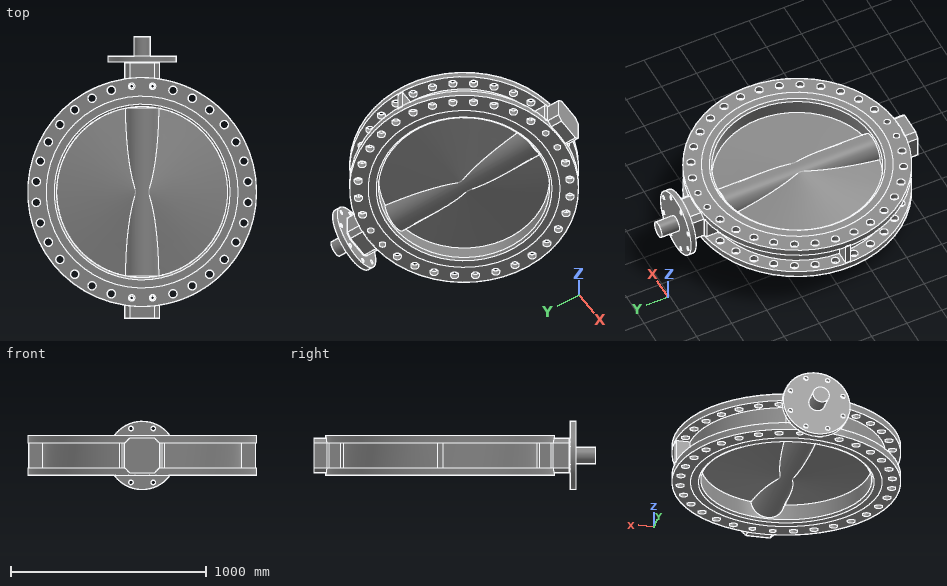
import cadquery as cq
import math


face_to_face = 204
flange_radius = 585
flange_thickness = 38.5
flange_gap = face_to_face - 2 * flange_thickness
barrel_radius = 508

bolt_count = 32
bolt_circle_radius = 543
bolt_hole_diameter = 41
bolt_pitch_angle = 360 / bolt_count
tapped_hole_diameter = 33
tapped_hole_depth = 70
pilot_hole_diameter = 18

rib_thickness = 28
rib_reach = 580

boss_half_width = 102
boss_reach = 577
boss_corner_chamfer = 10
boss_foot_chamfer = 13

neck_width = 178
neck_corner_chamfer = 26
lower_neck_end = -645
upper_neck_end = 659

mounting_radius = 175
mounting_thickness = 30
mounting_pad_thickness = 5
mounting_bolt_count = 8
mounting_bolt_circle_diameter = 298
mounting_bolt_hole_diameter = 22

liner_outer_radius = 490
liner_bore_radius = 437
liner_chamfer = 12

disc_edge_half_thickness = 6
hub_radius = 86
hub_half_length = 430
cone_height = 85

shaft_radius = 42.5
shaft_lower_end = -590
shaft_upper_end = lower_neck_end + 1439


def cylinder_along_z(radius, z_start, z_end):
    return cq.Workplane("XY").workplane(offset=z_start).circle(radius).extrude(z_end - z_start)


def along_y(y_start):
    """Workplane across the Y axis at the given position."""
    return cq.Workplane("XZ", origin=(0, y_start, 0))


def cylinder_along_y(radius, y_start, y_end):
    return along_y(y_start).circle(radius).extrude(y_start - y_end)


def neck_block(y_start, y_end):
    """Square bar along Y with its four long edges cut off."""
    bar = along_y(y_start).rect(neck_width, neck_width).extrude(y_start - y_end)
    return bar.edges("|Y").chamfer(neck_corner_chamfer)


def boss(side):
    """Shaft boss between the flanges: side is +1 at the upper neck and -1 at the lower neck."""
    foot_half_width = boss_half_width + boss_foot_chamfer
    foot_y = math.sqrt(barrel_radius**2 - foot_half_width**2)
    half_outline = [
        (foot_half_width, foot_y),
        (boss_half_width, foot_y + boss_foot_chamfer),
        (boss_half_width, boss_reach - boss_corner_chamfer),
        (boss_half_width - boss_corner_chamfer, boss_reach),
    ]
    mirrored_outline = [(-x, y) for x, y in reversed(half_outline)]
    outline = [(x, side * y) for x, y in half_outline + mirrored_outline]
    start = cq.Workplane("XY").workplane(offset=-flange_gap / 2)
    return start.polyline(outline).close().extrude(flange_gap)


def bolt_positions(tapped):
    """Bolt circle positions; the pairs beside the Y axis are tapped, all others are clear."""
    positions = []
    for index in range(bolt_count):
        angle = math.radians((index + 0.5) * bolt_pitch_angle)
        x = bolt_circle_radius * math.cos(angle)
        y = bolt_circle_radius * math.sin(angle)
        beside_shaft = abs(x) < boss_half_width
        if beside_shaft == tapped:
            positions.append((x, y))
    return positions


def bolt_holes(tapped, diameter, z_start, z_end):
    start = cq.Workplane("XY").workplane(offset=z_start).pushPoints(bolt_positions(tapped))
    return start.circle(diameter / 2).extrude(z_end - z_start)


def make_body():
    top = face_to_face / 2
    body = cylinder_along_z(barrel_radius, -top, top)
    body = body.union(cylinder_along_z(flange_radius, -top, -top + flange_thickness))
    body = body.union(cylinder_along_z(flange_radius, top - flange_thickness, top))
    body = body.union(cq.Workplane("XY").box(2 * rib_reach, rib_thickness, flange_gap))
    body = body.union(boss(1)).union(boss(-1))
    body = body.union(neck_block(lower_neck_end, -liner_outer_radius))
    body = body.union(neck_block(liner_outer_radius, upper_neck_end))
    body = body.cut(cylinder_along_z(liner_outer_radius, -top, top))
    body = body.cut(bolt_holes(False, bolt_hole_diameter, -top, top))
    body = body.cut(bolt_holes(True, pilot_hole_diameter, -top, top))
    body = body.cut(bolt_holes(True, tapped_hole_diameter, -top, -top + tapped_hole_depth))
    body = body.cut(bolt_holes(True, tapped_hole_diameter, top - tapped_hole_depth, top))
    return body.cut(cylinder_along_y(shaft_radius, shaft_lower_end, upper_neck_end))


def make_liner():
    """Sleeve in the body bore, with a lead-in chamfer at both faces."""
    top = face_to_face / 2
    liner = cylinder_along_z(liner_outer_radius, -top, top)
    liner = liner.cut(cylinder_along_z(liner_bore_radius, -top, top))
    liner = liner.edges(cq.selectors.RadiusNthSelector(0)).chamfer(liner_chamfer)
    return liner.cut(cylinder_along_y(shaft_radius, -flange_radius, flange_radius))


def make_disc():
    """Shallow double cone with a round hub along the shaft."""
    profile = [
        (0, -cone_height),
        (-liner_bore_radius, -disc_edge_half_thickness),
        (-liner_bore_radius, disc_edge_half_thickness),
        (0, cone_height),
    ]
    disc = cq.Workplane("XZ").polyline(profile).close().revolve(360, (0, 0), (0, 1))
    disc = disc.union(cylinder_along_y(hub_radius, -hub_half_length, hub_half_length))
    return disc.cut(cylinder_along_y(shaft_radius, -flange_radius, flange_radius))


def make_mounting_flange():
    plate_start = upper_neck_end + mounting_pad_thickness
    plate_end = plate_start + mounting_thickness
    flange = cylinder_along_y(mounting_radius, plate_start, plate_end)
    flange = flange.union(neck_block(upper_neck_end, plate_start))
    holes = along_y(plate_start).polarArray(
        mounting_bolt_circle_diameter / 2, 180 / mounting_bolt_count, 360, mounting_bolt_count
    )
    holes = holes.circle(mounting_bolt_hole_diameter / 2).extrude(-mounting_thickness)
    return flange.cut(holes).cut(cylinder_along_y(shaft_radius, upper_neck_end, plate_end))


body = make_body()
liner = make_liner()
disc = make_disc()
shaft = cylinder_along_y(shaft_radius, shaft_lower_end, shaft_upper_end)
mounting_flange = make_mounting_flange()

result = cq.Compound.makeCompound(
    [body.val(), liner.val(), disc.val(), shaft.val(), mounting_flange.val()]
)